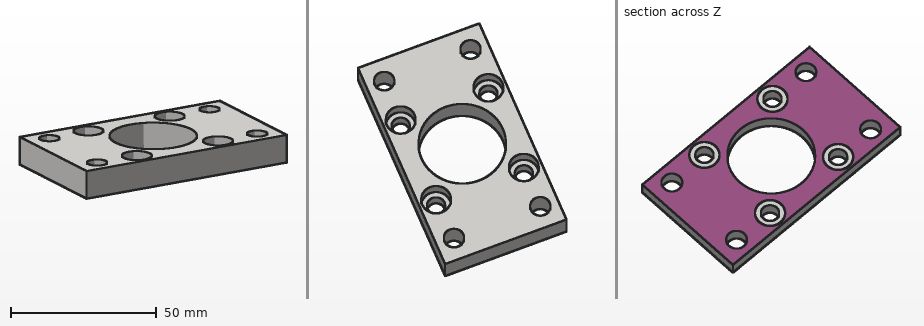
import cadquery as cq

plate_width = 45.0
plate_length = 80.0
plate_thickness = 10.0

bore_diameter = 30.1

corner_hole_diameter = 7.0
corner_pitch_x = 32.0
corner_pitch_y = 64.0

screw_pitch = 32.5
screw_hole_diameter = 6.3
counterbore_diameter = 10.3
counterbore_depth = 5.0


def make_plate():
    """Rectangular plate centred on the origin."""
    return cq.Workplane("XY").box(plate_width, plate_length, plate_thickness)


def top_plane(body):
    """Work plane on the top face, centred on the plate."""
    return body.faces(">Z").workplane(origin=(0, 0, 0))


def cut_bore(body):
    """Large through hole in the middle of the plate."""
    return top_plane(body).hole(bore_diameter)


def cut_corner_holes(body):
    """Four plain through holes, one near each corner."""
    return (
        top_plane(body)
        .rarray(corner_pitch_x, corner_pitch_y, 2, 2)
        .hole(corner_hole_diameter)
    )


def cut_screw_holes(body):
    """Four through holes, counterbored from the top face."""
    return (
        top_plane(body)
        .rarray(screw_pitch, screw_pitch, 2, 2)
        .cboreHole(screw_hole_diameter, counterbore_diameter, counterbore_depth)
    )


plate = make_plate()
plate = cut_bore(plate)
plate = cut_corner_holes(plate)
result = cut_screw_holes(plate)